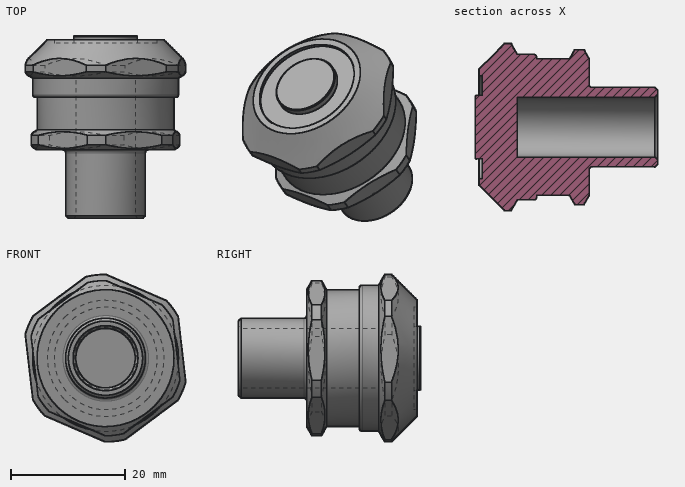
import cadquery as cq
import math


tube_diameter = 14.0
tube_length = 12.0
tip_chamfer = 0.5
root_fillet = 0.5
bore_diameter = 10.4
bore_chamfer = 0.5

front_hex_flats = 25.0
front_hex_width = 3.5
barrel_diameter = 24.0
barrel_length = 5.7

collar_diameter = 25.6
collar_length = 3.4
collar_round = 0.5
rear_hex_flats = 27.0
cap_length = 6.75
cap_face_diameter = 20.4

corner_ratio = 1.088
cone_angle = math.radians(30)
corner_to_z = 30
hex_turn = 6.64

recess_diameter = 18.0
recess_depth = 0.55
pad_diameter = 11.2
pad_rise = 0.65
pad_chamfer = 0.15

front_hex_start = tube_length
front_hex_end = front_hex_start + front_hex_width
barrel_end = front_hex_end + barrel_length
rear_hex_start = barrel_end + collar_length
cap_end = rear_hex_start + cap_length
pad_end = cap_end + pad_rise


def cylinder(diameter, start, end):
    """Cylinder about the Y axis between two stations."""
    disc = cq.Workplane("XZ", origin=(0, start, 0)).circle(diameter / 2)
    return disc.extrude(start - end)


def revolve(outline):
    """Turn a closed (radius, station) outline about the Y axis."""
    return outline.close().revolve(360, (0, 0, 0), (0, 1, 0))


def hex_prism(flats, start, end):
    """Hexagonal prism along Y, turned about the axis."""
    across_corners = flats / math.cos(math.radians(30))
    prism = cq.Workplane("XZ", origin=(0, start, 0)).polygon(6, across_corners).extrude(start - end)
    return prism.rotate((0, 0, 0), (0, 1, 0), -(corner_to_z + hex_turn))


def cone_length(corner_radius, end_radius):
    """Axial length of the corner chamfer from the corner circle down to the end radius."""
    return (corner_radius - end_radius) * math.tan(cone_angle)


def make_tube():
    tube = cylinder(tube_diameter, 0, front_hex_end).faces("<Y").chamfer(tip_chamfer)
    radius = tube_diameter / 2
    root = revolve(
        cq.Workplane("XY")
        .moveTo(0, front_hex_start - root_fillet)
        .lineTo(radius, front_hex_start - root_fillet)
        .radiusArc((radius + root_fillet, front_hex_start), root_fillet)
        .lineTo(0, front_hex_start)
    )
    return tube.union(root)


def make_front_hex():
    corner_radius = front_hex_flats * corner_ratio / 2
    end_radius = barrel_diameter / 2
    cone = cone_length(corner_radius, end_radius)
    blank = revolve(
        cq.Workplane("XY")
        .moveTo(0, front_hex_start)
        .lineTo(end_radius, front_hex_start)
        .lineTo(corner_radius, front_hex_start + cone)
        .lineTo(corner_radius, front_hex_end - cone)
        .lineTo(end_radius, front_hex_end)
        .lineTo(0, front_hex_end)
    )
    return blank.intersect(hex_prism(front_hex_flats, front_hex_start, front_hex_end))


def make_barrel_and_collar():
    barrel = cylinder(barrel_diameter, front_hex_end, barrel_end)
    collar = cylinder(collar_diameter, barrel_end, rear_hex_start).faces("<Y").edges().fillet(collar_round)
    return barrel.union(collar)


def make_rear_hex():
    """Rear hexagon tapering at 45 degrees to a flat end face."""
    corner_radius = rear_hex_flats * corner_ratio / 2
    front_radius = collar_diameter / 2
    face_radius = cap_face_diameter / 2
    cone = cone_length(corner_radius, front_radius)
    blank = revolve(
        cq.Workplane("XY")
        .moveTo(0, rear_hex_start)
        .lineTo(front_radius, rear_hex_start)
        .lineTo(corner_radius, rear_hex_start + cone)
        .lineTo(corner_radius, cap_end - (corner_radius - face_radius))
        .lineTo(face_radius, cap_end)
        .lineTo(0, cap_end)
    )
    return blank.intersect(hex_prism(rear_hex_flats, rear_hex_start, cap_end))


def make_recess():
    return cylinder(recess_diameter, cap_end - recess_depth, cap_end)


def make_pad():
    pad = cylinder(pad_diameter, cap_end - recess_depth, pad_end)
    return pad.faces(">Y").chamfer(pad_chamfer)


def make_bore():
    """Blind bore up to the rear hexagon, with a chamfered mouth."""
    bore = cylinder(bore_diameter, 0, rear_hex_start)
    radius = bore_diameter / 2
    mouth = revolve(
        cq.Workplane("XY")
        .lineTo(radius + bore_chamfer, 0)
        .lineTo(radius, bore_chamfer)
        .lineTo(0, bore_chamfer)
    )
    return bore.union(mouth)


body = make_tube().union(make_front_hex()).union(make_barrel_and_collar()).union(make_rear_hex())
result = body.cut(make_recess()).union(make_pad()).cut(make_bore())